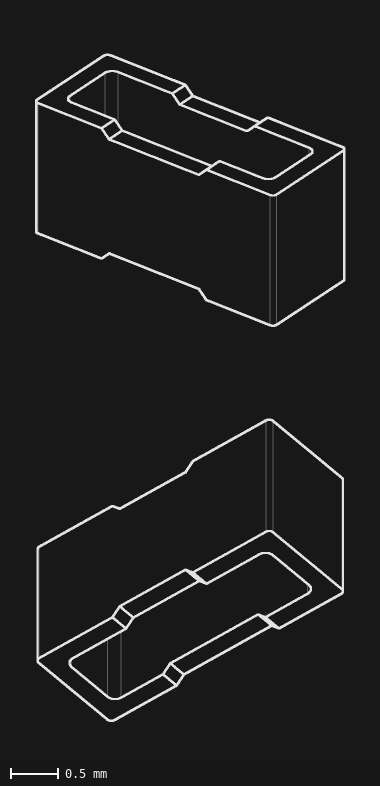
import cadquery as cq

length = 3.2
width = 1.25
height = 1.6
outer_corner_radius = 0.05

wall = 0.227
inner_corner_radius = 0.1

notch_depth = 0.1
front_notch_floor = 1.2
back_notch_floor = 0.9


def make_sleeve():
    """Rounded rectangular tube centred on the origin."""
    outer = cq.Workplane("XY").box(length, width, height).edges("|Z").fillet(outer_corner_radius)
    passage = (
        cq.Workplane("XY")
        .box(length - 2 * wall, width - 2 * wall, height)
        .edges("|Z")
        .fillet(inner_corner_radius)
    )
    return outer.cut(passage)


def make_notch(floor_length, wall_side, rim_side):
    """Trapezoidal cutter for one long wall (-Y or +Y) at one rim (-Z or +Z)."""
    half_floor = floor_length / 2
    half_mouth = half_floor + notch_depth
    rim = rim_side * height / 2
    floor = rim_side * (height / 2 - notch_depth)
    profile = [(-half_mouth, rim), (-half_floor, floor), (half_floor, floor), (half_mouth, rim)]
    half_width = width / 2
    return (
        cq.Workplane("XZ")
        .polyline(profile)
        .close()
        .extrude(half_width)
        .translate((0, half_width if wall_side > 0 else 0, 0))
    )


result = make_sleeve()
for rim_side in (-1, 1):
    result = result.cut(make_notch(front_notch_floor, -1, rim_side))
    result = result.cut(make_notch(back_notch_floor, 1, rim_side))